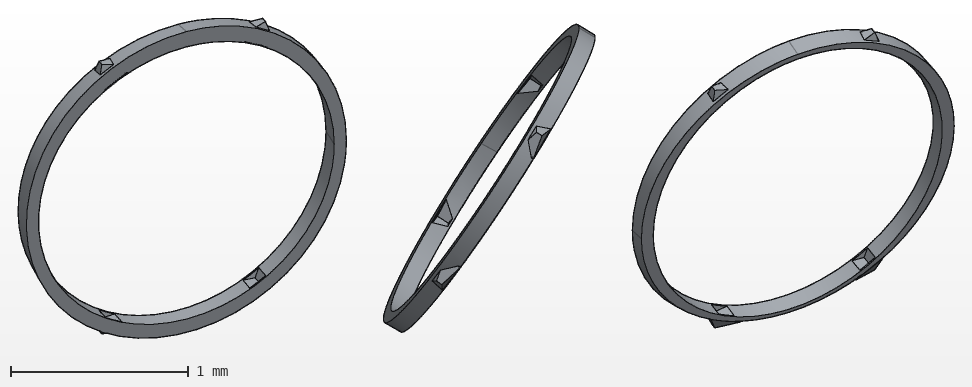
import cadquery as cq
import math

width = 0.11
half_width = width / 2

outer_half_y = 1.0
near_outer_half_z = 0.972
far_outer_half_z = 1.01
near_outer_centre_z = 0.025
near_inner_centre_z = 0.018
inner_half_y = 0.923
near_inner_half_z = 0.941
far_inner_half_z = 0.913
far_inner_centre_z = -0.006

pip_y = 0.511
pip_top_z = 0.913
pip_bottom_z = -0.897
pip_steep_length = 0.097
pip_gentle_length = 0.117
pip_half_width = 0.053
pip_ridge_half_width = 0.018
pip_base_radius = 0.953

dent_inset = 0.079
dent_ridge_half_width = 0.036
dent_base_radius = 0.889


def taper(half_y, near_half_z, far_half_z, near_centre_z, far_centre_z=0):
    """Solid between an ellipse on the -X face and an ellipse on the +X face."""
    return (
        cq.Workplane("YZ", origin=(-half_width, 0, 0))
        .center(0, near_centre_z)
        .ellipse(half_y, near_half_z)
        .workplane(offset=width)
        .center(0, far_centre_z - near_centre_z)
        .ellipse(half_y, far_half_z)
        .loft(ruled=True)
    )


def faceted_solid(points, faces):
    """Solid with flat faces, each given as a list of point names."""
    shell_faces = []
    for names in faces:
        outline = cq.Wire.makePolygon([cq.Vector(*points[name]) for name in names], close=True)
        shell_faces.append(cq.Face.makeFromWires(outline))
    return cq.Solid.makeSolid(cq.Shell.makeShell(shell_faces))


def wedge(y, z, base_radius, ridge_half_width, ridge_inset=0):
    """Wedge on a rectangular base, its ridge set in from (y, z) towards the X axis."""
    reach = math.hypot(y, z)
    out_y = y / reach
    out_z = z / reach
    ridge_radius = reach - ridge_inset
    towards_z_axis = math.copysign(1, y * z)
    gentle = towards_z_axis * pip_gentle_length
    steep = -towards_z_axis * pip_steep_length

    def place(x, along, radius):
        return (x, radius * out_y - along * out_z, radius * out_z + along * out_y)

    points = {
        "a": place(-pip_half_width, steep, base_radius),
        "b": place(pip_half_width, steep, base_radius),
        "c": place(pip_half_width, gentle, base_radius),
        "d": place(-pip_half_width, gentle, base_radius),
        "near": place(-ridge_half_width, 0, ridge_radius),
        "far": place(ridge_half_width, 0, ridge_radius),
    }
    faces = [
        ["a", "b", "c", "d"],
        ["a", "b", "far", "near"],
        ["c", "d", "near", "far"],
        ["b", "c", "far"],
        ["d", "a", "near"],
    ]
    return faceted_solid(points, faces)


outside = taper(outer_half_y, near_outer_half_z, far_outer_half_z, near_outer_centre_z)
opening = taper(
    inner_half_y, near_inner_half_z, far_inner_half_z, near_inner_centre_z, far_inner_centre_z
)

body = outside
hollow = opening
for side in (-1, 1):
    for ridge_z in (pip_top_z, pip_bottom_z):
        ridge_y = side * pip_y
        pip = wedge(ridge_y, ridge_z, pip_base_radius, pip_ridge_half_width)
        dent = wedge(ridge_y, ridge_z, dent_base_radius, dent_ridge_half_width, dent_inset)
        body = body.union(cq.Workplane(obj=pip))
        hollow = hollow.union(cq.Workplane(obj=dent))

result = body.cut(hollow)